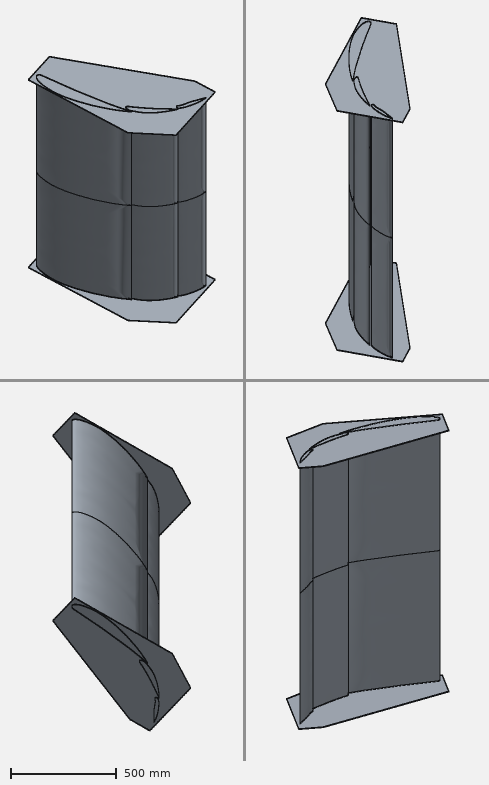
import cadquery as cq

WING_SPAN = 1385.0
HALF_SPAN = WING_SPAN / 2
PLATE_LENGTH = 770.0
PLATE_WIDTH = 443.0
PLATE_THICKNESS = 4.0

FRONT_EDGE_LENGTH = 575.0
LEFT_EDGE_LENGTH = 175.0
RIGHT_CUT_HEIGHT = 118.0
BACK_EDGE_LENGTH = 118.0

MAIN_TRAILING_EDGE = (515.0, 116.0)
MAIN_CURVE = [
    (482.0, 110.0), (360.0, 90.0), (233.0, 75.0), (115.0, 65.0), (39.0, 60.0), (24.0, 54.0),
    (18.0, 45.0),
    (33.0, 26.0), (64.0, 15.0), (122.0, 7.0), (201.0, 11.0), (296.0, 30.0), (405.0, 65.0), (472.0, 94.0),
]
FIRST_FLAP_TRAILING_EDGE = (685.0, 255.0)
FIRST_FLAP_CURVE = [
    (627.0, 216.0), (568.0, 180.0), (529.0, 158.0), (493.0, 140.0), (480.0, 133.0),
    (475.0, 125.0),
    (485.0, 119.0), (517.0, 123.0), (561.0, 143.0), (615.0, 180.0), (659.0, 223.0),
]
SECOND_FLAP_TRAILING_EDGE = (755.0, 389.0)
SECOND_FLAP_CURVE = [
    (720.0, 342.0), (700.0, 310.0), (677.0, 275.0),
    (670.0, 266.0),
    (676.0, 260.0), (691.0, 267.0), (719.0, 303.0), (741.0, 345.0),
]


def make_element(trailing_edge, section_curve, base_z, height):
    """One wing element, extruded upward from base_z."""
    section = cq.Workplane("XY", origin=(0, 0, base_z)).moveTo(*trailing_edge)
    section = section.spline([*section_curve, trailing_edge], includeCurrent=True)
    return section.wire().extrude(height)


def make_main_element(base_z, height=HALF_SPAN):
    return make_element(MAIN_TRAILING_EDGE, MAIN_CURVE, base_z, height)


def make_first_flap(base_z, height=HALF_SPAN):
    return make_element(FIRST_FLAP_TRAILING_EDGE, FIRST_FLAP_CURVE, base_z, height)


def make_second_flap(base_z, height=HALF_SPAN):
    return make_element(SECOND_FLAP_TRAILING_EDGE, SECOND_FLAP_CURVE, base_z, height)


def make_end_plate(base_z):
    """Six-sided plate with an opening that fits each wing element."""
    corners = [
        (0, 0),
        (FRONT_EDGE_LENGTH, 0),
        (PLATE_LENGTH, RIGHT_CUT_HEIGHT),
        (PLATE_LENGTH, PLATE_WIDTH),
        (PLATE_LENGTH - BACK_EDGE_LENGTH, PLATE_WIDTH),
        (0, LEFT_EDGE_LENGTH),
    ]
    plate = cq.Workplane("XY", origin=(0, 0, base_z)).polyline(corners).close()
    plate = plate.extrude(PLATE_THICKNESS)
    for make_opening in (make_main_element, make_first_flap, make_second_flap):
        plate = plate.cut(make_opening(base_z, PLATE_THICKNESS))
    return plate


half_bases = (0, HALF_SPAN)
main_elements = [make_main_element(z) for z in half_bases]
first_flaps = [make_first_flap(z) for z in half_bases]
second_flaps = [make_second_flap(z) for z in half_bases]

end_plates = [make_end_plate(z) for z in (0, WING_SPAN - PLATE_THICKNESS)]

bodies = [*main_elements, *first_flaps, *second_flaps, *end_plates]
result = cq.Compound.makeCompound([body.val() for body in bodies])